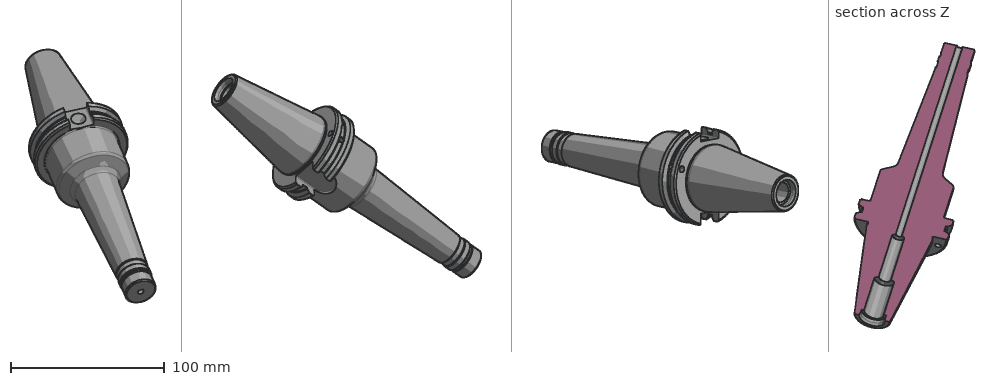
import cadquery as cq
import math

length = 218.2

taper_small_radius = 12.2
taper_large_radius = 22.3
taper_end_chamfer = 0.9
taper_end_x = 68.0
relief_start_x = 69.6
relief_radius = 21.8
relief_bevel_length = 0.7

flange_front_x = 71.1
flange_back_x = 87.3
flange_radius = 31.6
flange_chamfer = 1.0
flank_length = 1.7
flank_depth = 2.6
groove_front_x = 75.7
groove_back_x = 83.0
groove_center_x = (groove_front_x + groove_back_x) / 2
groove_radius = 28.0

body_radius = 24.9
body_root_fillet = 0.9
shoulder_start_x = 112.6
shoulder_end_x = 118.3
shoulder_fillet = 2.5
neck_root_fillet = 4.5

neck_start_radius = 15.3
neck_end_x = 198.2
neck_end_radius = 11.0
band_bevel = 0.7
nose_radius = 10.5
raised_band_start_x = 202.5
raised_band_end_x = 207.8
raised_band_radius = 11.0
nose_groove_end_x = 209.3
nose_groove_radius = 10.3
nose_chamfer = 0.9

slot_width = 16.2
slot_floor_fillet = 0.7
upper_slot_height = 25.0
lower_slot_height = 22.7
slot_round_center_x = 88.6
dimple_diameter = 9.5
dimple_depth = 3.7

pilot_diameter = 16.4
pilot_chamfer_length = 2.2
pilot_chamfer_depth = 0.7
pilot_depth = 4.4
bore_diameter = 13.0
bore_depth = 30.5
inner_diameter = 8.0
inner_depth = 65.5
coolant_diameter = 4.0

coolant_port_diameter = 4.1
coolant_port_circle_radius = 26.8
coolant_port_angle = 20.0
groove_port_diameter = 4.0
groove_port_floor_radius = 23.0

selection_margin = 0.02

drill_tip_half_angle = math.radians(59)


def revolve_about_x(points):
    """Close an (x, radius) outline and turn it about the X axis."""
    outline = cq.Workplane("XY").polyline(points).close()
    return outline.revolve(360, (0, 0, 0), (1, 0, 0))


def drill_tip_length(radius_drop):
    return radius_drop / math.tan(drill_tip_half_angle)


def turned_body():
    rim_radius = flange_radius - flange_chamfer
    flank_radius = flange_radius - flank_depth
    body_points = [
        (0, 0),
        (0, taper_small_radius - taper_end_chamfer),
        (taper_end_chamfer, taper_small_radius),
        (taper_end_x, taper_large_radius),
        (relief_start_x, taper_large_radius),
        (relief_start_x + relief_bevel_length, relief_radius),
        (flange_front_x, relief_radius),
        (flange_front_x, rim_radius),
        (flange_front_x + flange_chamfer, flange_radius),
        (groove_front_x, flange_radius),
        (groove_front_x + flank_length, flank_radius),
        (groove_front_x + flank_length, groove_radius),
        (groove_back_x - flank_length, groove_radius),
        (groove_back_x - flank_length, flank_radius),
        (groove_back_x, flange_radius),
        (flange_back_x - flange_chamfer, flange_radius),
        (flange_back_x, rim_radius),
        (flange_back_x, body_radius),
        (shoulder_start_x, body_radius),
        (shoulder_end_x, neck_start_radius),
    ]
    nose_points = [
        (neck_end_x, neck_end_radius),
        (neck_end_x + band_bevel, nose_radius),
        (raised_band_start_x, nose_radius),
        (raised_band_start_x + band_bevel, raised_band_radius),
        (raised_band_end_x - band_bevel, raised_band_radius),
        (raised_band_end_x, nose_groove_radius),
        (nose_groove_end_x, nose_groove_radius),
        (nose_groove_end_x + band_bevel, nose_radius),
        (length - nose_chamfer, nose_radius),
        (length, nose_radius - nose_chamfer),
        (length, 0),
    ]
    body = revolve_about_x(body_points + nose_points)
    for x, radius, fillet in (
        (flange_back_x, body_radius, body_root_fillet),
        (shoulder_start_x, body_radius, shoulder_fillet),
        (shoulder_end_x, neck_start_radius, neck_root_fillet),
    ):
        reach = radius + selection_margin
        circle = cq.selectors.BoxSelector(
            (x - selection_margin, -reach, -reach),
            (x + selection_margin, reach, reach),
            boundingbox=True,
        )
        body = body.edges(circle).fillet(fillet)
    return body


def drive_slot(height):
    """Cutter leaving a flat floor at the given height, rounded off behind the flange."""
    depth = flange_radius
    front = cq.Workplane("XY", origin=(slot_round_center_x / 2, 0, height))
    straight = front.rect(slot_round_center_x, slot_width).extrude(depth)
    end = cq.Workplane("XY", origin=(slot_round_center_x, 0, height))
    cutter = straight.union(end.circle(slot_width / 2).extrude(depth))
    floor_sides = cutter.faces("<Z").edges("|X or %CIRCLE")
    return floor_sides.fillet(slot_floor_fillet)


def dimple():
    cone = cq.Solid.makeCone(
        dimple_diameter / 2, 0, dimple_depth,
        pnt=cq.Vector(groove_center_x, 0, upper_slot_height), dir=cq.Vector(0, 0, -1),
    )
    return cq.Workplane(cone)


def axial_bore():
    pilot_radius = pilot_diameter / 2
    bore_radius = bore_diameter / 2
    inner_radius = inner_diameter / 2
    coolant_radius = coolant_diameter / 2
    return revolve_about_x([
        (0, 0),
        (0, pilot_radius + pilot_chamfer_depth),
        (pilot_chamfer_length, pilot_radius),
        (pilot_depth, pilot_radius),
        (pilot_depth, bore_radius),
        (bore_depth, bore_radius),
        (bore_depth + drill_tip_length(bore_radius - inner_radius), inner_radius),
        (inner_depth, inner_radius),
        (inner_depth + drill_tip_length(inner_radius - coolant_radius), coolant_radius),
        (length, coolant_radius),
        (length, 0),
    ])


def coolant_port(angle):
    """Axial hole from the flange face to a radial hole in the groove floor."""
    axial_length = groove_center_x - flange_front_x
    face = cq.Workplane("YZ", origin=(flange_front_x, coolant_port_circle_radius, 0))
    axial = face.circle(coolant_port_diameter / 2).extrude(axial_length)
    radial_length = flange_radius - groove_port_floor_radius
    floor = cq.Workplane("ZX", origin=(groove_center_x, groove_port_floor_radius, 0))
    radial = floor.circle(groove_port_diameter / 2).extrude(radial_length)
    return axial.union(radial).rotate((0, 0, 0), (1, 0, 0), angle)


result = turned_body().cut(axial_bore())
result = result.cut(drive_slot(upper_slot_height))
result = result.cut(drive_slot(lower_slot_height).mirror("XY"))
result = result.cut(dimple())
for angle in (coolant_port_angle, coolant_port_angle + 180):
    result = result.cut(coolant_port(angle))